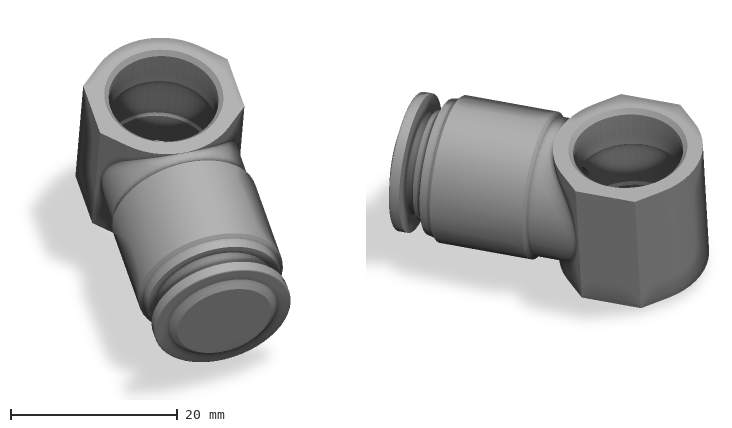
import cadquery as cq
import math


roll_about_x = -2.75
pitch_about_y = 1.75

head_radius = 9.0
head_height = 17.14
bore_radius = 6.6
bore_chamfer = 0.55
groove_depth = 0.3
groove_height = 6.6

neck_radius = 8.5
sleeve_radius = head_radius
cap_radius_start = 8.55
cap_radius_end = 8.3
collar_radius_start = 7.28
collar_radius_end = 6.8
stem_radius = 6.0
flange_radius = 8.5
nose_radius_start = 6.8
nose_radius_end = 5.85

sleeve_start = 10.35
sleeve_chamfer = sleeve_radius - neck_radius
sleeve_end = 22.4
cap_start = 22.85
cap_end = 23.95
collar_end = 25.27
flange_back_root = 26.4
flange_back_rim = 26.48
flange_front = 27.8
nose_end = 28.52

root_fillet = 0.35
edge_fillet = 0.2

port_radius = 3.0
port_floor = 7.0


def make_head():
    """Round head whose +Y and -Y sides are squared off by flats tangent to the circle."""
    diagonal = head_radius * math.cos(math.pi / 4)
    corner = head_radius * math.tan(math.pi / 8)
    outline = (
        cq.Workplane("XY", origin=(0, 0, -head_height / 2))
        .moveTo(diagonal, -diagonal)
        .threePointArc((head_radius, 0), (diagonal, diagonal))
        .lineTo(corner, head_radius)
        .lineTo(-corner, head_radius)
        .lineTo(-diagonal, diagonal)
        .threePointArc((-head_radius, 0), (-diagonal, -diagonal))
        .lineTo(-corner, -head_radius)
        .lineTo(corner, -head_radius)
        .close()
    )
    return outline.extrude(head_height)


def make_body():
    """Neck, sleeve, stepped cap and release flange, revolved about local X."""
    profile = (
        cq.Workplane("XY")
        .lineTo(0, neck_radius)
        .lineTo(sleeve_start, neck_radius)
        .lineTo(sleeve_start + sleeve_chamfer, sleeve_radius)
        .lineTo(sleeve_end, sleeve_radius)
        .lineTo(cap_start, cap_radius_start)
        .lineTo(cap_end, cap_radius_end)
        .lineTo(cap_end, collar_radius_start)
        .lineTo(collar_end, collar_radius_end)
        .lineTo(collar_end, stem_radius)
        .lineTo(flange_back_root - root_fillet, stem_radius)
        .radiusArc((flange_back_root, stem_radius + root_fillet), -root_fillet)
        .lineTo(flange_back_rim, flange_radius)
        .lineTo(flange_front - edge_fillet, flange_radius)
        .radiusArc((flange_front, flange_radius - edge_fillet), edge_fillet)
        .lineTo(flange_front, nose_radius_start)
        .lineTo(nose_end, nose_radius_end)
        .lineTo(nose_end, 0)
        .close()
    )
    return profile.revolve(360, (0, 0, 0), (1, 0, 0))


def make_bore():
    """Through bore along the head axis, chamfered at both ends, with a wide shallow groove."""
    half_height = head_height / 2
    half_groove = groove_height / 2
    groove_radius = bore_radius + groove_depth
    mouth_radius = bore_radius + bore_chamfer
    profile = (
        cq.Workplane("XZ")
        .moveTo(0, -half_height)
        .lineTo(mouth_radius, -half_height)
        .lineTo(bore_radius, -half_height + bore_chamfer)
        .lineTo(bore_radius, -half_groove)
        .lineTo(groove_radius, -half_groove + groove_depth)
        .lineTo(groove_radius, half_groove - groove_depth)
        .lineTo(bore_radius, half_groove)
        .lineTo(bore_radius, half_height - bore_chamfer)
        .lineTo(mouth_radius, half_height)
        .lineTo(0, half_height)
        .close()
    )
    return profile.revolve(360, (0, 0, 0), (0, 1, 0))


def make_port():
    """Short round recess from the head axis into the bore wall on the body side."""
    return cq.Workplane("YZ").circle(port_radius).extrude(port_floor)


fitting = make_head().union(make_body()).cut(make_bore()).cut(make_port())

result = (
    fitting
    .rotate((0, 0, 0), (1, 0, 0), roll_about_x)
    .rotate((0, 0, 0), (0, 1, 0), pitch_about_y)
)